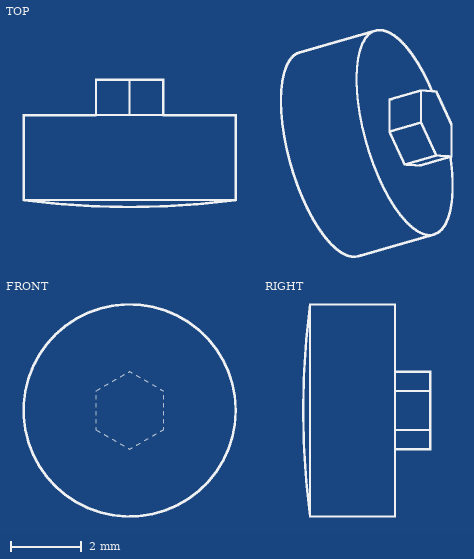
import cadquery as cq

disc_diameter = 6.0
total_length = 3.6
disc_thickness = 2.4
stem_length = 1.0
hex_across_corners = 2.195

disc_radius = disc_diameter / 2
dome_height = total_length - disc_thickness - stem_length
dome_radius = (disc_radius**2 + dome_height**2) / (2 * dome_height)

arc_mid_x = disc_radius / 2
dome_center_y = dome_radius - dome_height
arc_mid_y = dome_center_y - (dome_radius**2 - arc_mid_x**2) ** 0.5


def make_domed_disc():
    """Round disc with a shallow spherical front face."""
    return (
        cq.Workplane("XY")
        .moveTo(0, -dome_height)
        .threePointArc((arc_mid_x, arc_mid_y), (disc_radius, 0))
        .lineTo(disc_radius, disc_thickness)
        .lineTo(0, disc_thickness)
        .close()
        .revolve(360, (0, 0, 0), (0, 1, 0))
    )


def make_hex_stem():
    """Hexagonal stem on the back face, with two corners pointing along Z."""
    return (
        cq.Workplane("XZ")
        .polygon(6, hex_across_corners)
        .extrude(-(disc_thickness + stem_length))
        .rotate((0, 0, 0), (0, 1, 0), 90)
    )


result = make_domed_disc().union(make_hex_stem())